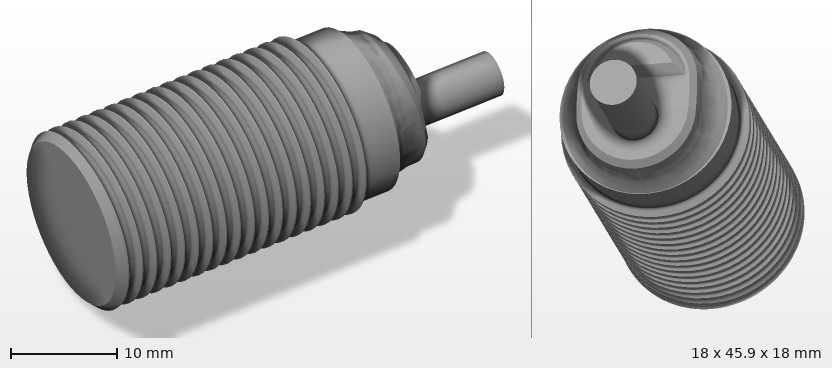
import cadquery as cq
import math

overall_length = 45.91
sleeve_length = 30.0
sleeve_radius = 8.25

flange_radius = 9.0
flange_length = flange_radius - sleeve_radius

ridge_count = 18
ridge_pitch = 1.523
first_ridge_y = 0.68
ridge_tilt = 2.05
ridge_shift_x = -0.05
ridge_crest_radius = 9.0
ridge_crest_width = 0.12
ridge_base_width = 0.94
ridge_root_radius = 7.5

face_radius = 7.6
face_depth = 1.0

rim_length = 1.0
neck_start = sleeve_length + rim_length
neck_end = 35.88
neck_join_z = 1.66
neck_sections = [
    (neck_start, 7.9, 8.2),
    (32.4, 6.5, 7.55),
    (neck_end, 5.85, 7.25),
]
end_chamfer = 0.68
chamfer_angle = 45.0
chamfer_block_depth = 7.0
slope_angle = 9.6
slope_start_z = -neck_join_z

cable_radius = 2.25
cable_z = -2.4

lens_outer_radius = 4.75
lens_center_z = 1.35
lens_chord_z = 1.8
lens_height = 0.9
lens_taper = 45.0


def disc(radius, start, length):
    """Cylinder along +Y starting at Y = start."""
    return cq.Workplane("XZ", origin=(0, start, 0)).circle(radius).extrude(-length)


def turned(points):
    """Solid of revolution about Y from (radius, y) points."""
    return cq.Workplane("XY").polyline(points).close().revolve(360, (0, 0, 0), (0, 1, 0))


def thread_ridge(y):
    """One tilted ring with a trapezoidal ridge section."""
    slope = (ridge_base_width - ridge_crest_width) / 2 / (ridge_crest_radius - sleeve_radius)
    root_half = ridge_crest_width / 2 + slope * (ridge_crest_radius - ridge_root_radius)
    ring = turned([
        (ridge_root_radius, -root_half),
        (ridge_crest_radius, -ridge_crest_width / 2),
        (ridge_crest_radius, ridge_crest_width / 2),
        (ridge_root_radius, root_half),
    ])
    return ring.rotate((0, 0, 0), (0, 0, 1), ridge_tilt).translate((ridge_shift_x, y, 0))


def front_flange():
    return turned([(0, 0), (sleeve_radius, 0), (flange_radius, flange_length), (0, flange_length)])


def make_sleeve():
    sleeve = disc(sleeve_radius, 0, sleeve_length)
    for i in range(ridge_count):
        sleeve = sleeve.union(thread_ridge(first_ridge_y + i * ridge_pitch))
    clearance = disc(2 * flange_radius, -flange_length, 2 * flange_length)
    sleeve = sleeve.cut(clearance).union(front_flange())
    return sleeve.cut(disc(face_radius, 0, face_depth))


def cross_plane(y):
    """Plane across the axis at Y = y, facing the cable, with local y along Z."""
    return cq.Plane(origin=(0, y, 0), xDir=(-1, 0, 0), normal=(0, 1, 0))


def oval(plane, half_width, half_height):
    """Closed outline in a plane of four tangent arcs that join neck_join_z above and below centre."""
    rise = half_height - neck_join_z
    end_radius = (half_width ** 2 + rise ** 2) / (2 * rise)
    join_angle = math.asin((end_radius - rise) / end_radius)
    join_x = half_width - neck_join_z * math.tan(join_angle / 2)
    return (
        cq.Workplane(plane)
        .moveTo(join_x, -neck_join_z)
        .threePointArc((half_width, 0), (join_x, neck_join_z))
        .threePointArc((0, half_height), (-join_x, neck_join_z))
        .threePointArc((-half_width, 0), (-join_x, -neck_join_z))
        .threePointArc((0, -half_height), (join_x, -neck_join_z))
        .close()
    )


def oval_neck():
    """Waisted oval neck running smoothly through its sections."""
    outlines = [
        oval(cross_plane(y), half_width, half_height).val()
        for y, half_width, half_height in neck_sections
    ]
    return cq.Workplane(cq.Solid.makeLoft(outlines))


def slope_plane(height=0):
    """Plane of the sloped end face, shifted along the slope to be level with Z = height.

    Local x runs along -X and local y up the slope.
    """
    slope = math.radians(slope_angle)
    rise = height - slope_start_z
    return cq.Plane(
        origin=(0, neck_end - rise * math.tan(slope), height),
        xDir=(-1, 0, 0),
        normal=(0, math.cos(slope), math.sin(slope)),
    )


def chamfered_below(plane):
    """Oval block ending at a plane, widening below it at the chamfer angle."""
    _, half_width, half_height = neck_sections[-1]
    outline = oval(plane, half_width - end_chamfer, half_height - end_chamfer)
    return outline.extrude(-chamfer_block_depth, taper=-chamfer_angle)


def make_cap():
    neck = oval_neck()
    neck = neck.intersect(chamfered_below(cross_plane(neck_end)))
    neck = neck.intersect(chamfered_below(slope_plane()))
    return neck.union(disc(sleeve_radius, sleeve_length, rim_length))


def make_face_insert():
    return disc(face_radius, 0, face_depth)


def make_cable():
    return disc(cable_radius, neck_start, overall_length - neck_start).translate((0, 0, cable_z))


def make_lens():
    """Tapered circular segment standing on the sloped face."""
    chord = lens_chord_z - lens_center_z
    corner_x = math.sqrt(lens_outer_radius ** 2 - chord ** 2)
    return (
        cq.Workplane(slope_plane(lens_center_z))
        .moveTo(-corner_x, chord)
        .threePointArc((0, lens_outer_radius), (corner_x, chord))
        .close()
        .extrude(lens_height, taper=lens_taper)
    )


sleeve = make_sleeve()
face_insert = make_face_insert()
cable = make_cable()
lens = make_lens()
cap = make_cap().cut(cable)

result = cq.Compound.makeCompound([
    sleeve.val(),
    face_insert.val(),
    cap.val(),
    cable.val(),
    lens.val(),
])